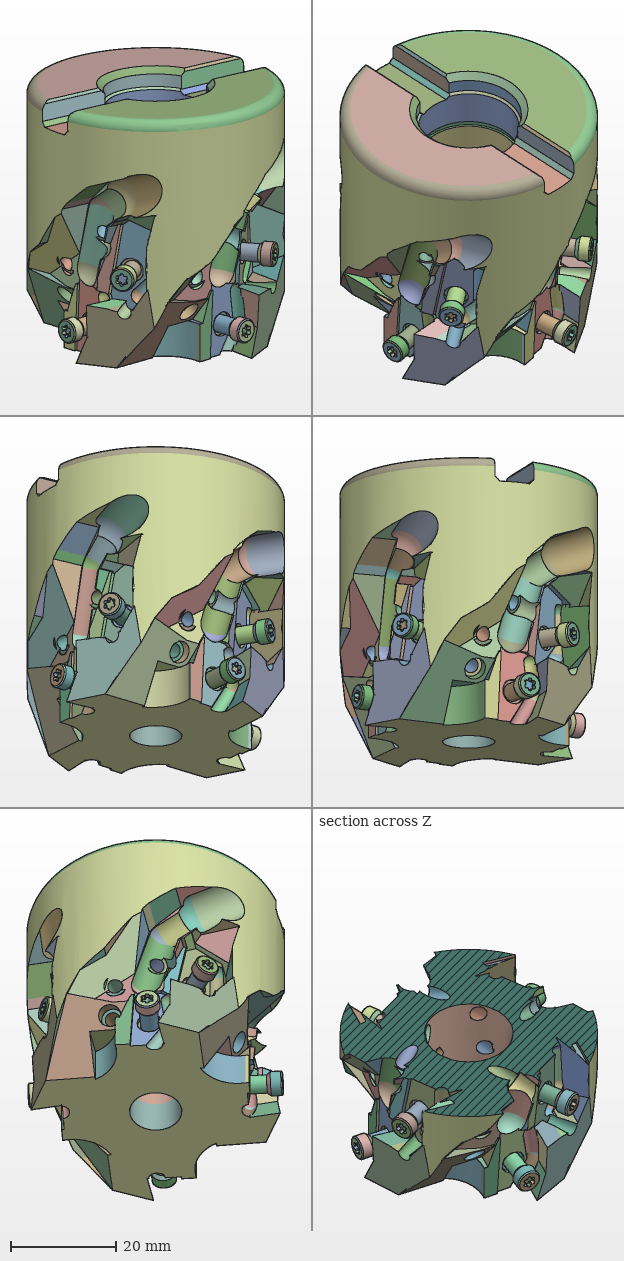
import cadquery as cq
import math

HEIGHT = 50.0
BODY_R = 24.5
TOP_FILLET = 2.0
TOOTH_COUNT = 4
TOOTH_PITCH = 360.0 / TOOTH_COUNT
REACH = 30.0

MOUTH_CHAMFER = 1.25
MOUTH_R = 10.0
MOUTH_DEPTH = 3.75
PILOT_R = 9.55
RELIEF_TOP_DEPTH = 11.1
RELIEF_BOTTOM_DEPTH = 12.25
CONE_TOP_Z = 31.0
CONE_BOTTOM_Z = 7.0
BOLT_HOLE_R = 4.95

SLOT_HALF_WIDTH = 3.95
SLOT_DEPTH = 4.8
SLOT_TOP_CHAMFER = 0.5
SLOT_FLOOR_CHAMFER = 0.9

SHANK_R = 1.75
HEAD_R = 2.35
HEAD_LENGTH = 2.25
NECK_LENGTH = 0.75
HEAD_EDGE_CHAMFER = 0.25
SCREW_LENGTH = 11.0
SOCKET_CORE_R = 0.9
SOCKET_LOBE_R = 0.35
SOCKET_DEPTH = 1.0
SOCKET_LOBES = 6
RECESS_DEPTH = 0.75

UPPER_SCREW = ((14.0, -19.0, 18.0), -54.4)
LOWER_SCREW = ((3.25, -24.0, 6.0), -82.5)

UPPER_SEAT_DISTANCE = 17.2
LOWER_SEAT_DISTANCE = 17.7
UPPER_SEAT_ANGLE = UPPER_SCREW[1]
LOWER_SEAT_ANGLE = LOWER_SCREW[1]
STRIP_STEP = 0.5

SCOOP_CENTER = (-12.0, -18.25)
SCOOP_R = 8.0
SCOOP_LEFT_X = -9.5
SCOOP_TOP_Z = 7.5
CHANNEL_Y = -18.0
CHANNEL_R = 3.0
RUNOUT_R = 4.0

UPPER_RELIEF_R = 1.65
LOWER_RELIEF_R = 1.35
NOTCH_R = 1.4
NOTCH_CENTER = (14.1, -18.5, 11.5)

COOLANT_R = 1.4
COOLANT_MOUTH_R = 2.1
COOLANT_MOUTH_LENGTH = 6.0
COOLANT_HOLES = [
    ((-1.8, -8.75), (3.4, -15.0, 24.0)),
    ((-4.45, -6.7), (-4.1, -18.5, 16.4)),
    ((-5.0, -4.5), (-5.3, -15.0, 11.0)),
]


def facing(angle):
    """Horizontal unit vector at an angle about Z."""
    return cq.Vector(math.cos(math.radians(angle)), math.sin(math.radians(angle)), 0)


def outside_of(point, normal):
    """Block filling the space on the outer side of a plane."""
    normal = cq.Vector(*normal)
    across = cq.Vector(0, 0, 1).cross(normal)
    plane = cq.Plane(origin=point, xDir=across.toTuple(), normal=normal.toTuple())
    return cq.Workplane(plane).rect(4 * HEIGHT, 4 * HEIGHT).extrude(HEIGHT)


def flat_floor(distance, angle):
    """Space outside a vertical plane at a distance from the axis."""
    normal = facing(angle)
    return outside_of((normal * distance).toTuple(), normal.toTuple())


def prism(outline):
    """Closed X-Z outline carried outward along -Y from the axis plane."""
    return cq.Workplane("XZ").polyline(outline).close().extrude(REACH)


def rod(start, end, radius):
    """Cylinder between two points."""
    start = cq.Vector(*start)
    axis = cq.Vector(*end) - start
    return cq.Workplane(cq.Solid.makeCylinder(radius, axis.Length, start, axis))


def ball(center, radius):
    return cq.Workplane("XY").sphere(radius).translate(center)


def around_teeth(shape):
    """Copies of a shape at every tooth position."""
    return [shape.rotate((0, 0, 0), (0, 0, 1), i * TOOTH_PITCH) for i in range(TOOTH_COUNT)]


def make_blank():
    blank = cq.Workplane("XY").circle(BODY_R).extrude(HEIGHT)
    return blank.faces(">Z").edges().fillet(TOP_FILLET)


def make_bore():
    profile = [
        (0, 0),
        (BOLT_HOLE_R, 0),
        (BOLT_HOLE_R, CONE_BOTTOM_Z),
        (PILOT_R, CONE_TOP_Z),
        (PILOT_R, HEIGHT - RELIEF_BOTTOM_DEPTH),
        (MOUTH_R, HEIGHT - RELIEF_BOTTOM_DEPTH),
        (MOUTH_R, HEIGHT - RELIEF_TOP_DEPTH),
        (PILOT_R, HEIGHT - RELIEF_TOP_DEPTH),
        (PILOT_R, HEIGHT - MOUTH_DEPTH - (MOUTH_R - PILOT_R)),
        (MOUTH_R, HEIGHT - MOUTH_DEPTH),
        (MOUTH_R, HEIGHT - MOUTH_CHAMFER),
        (MOUTH_R + MOUTH_CHAMFER, HEIGHT),
        (0, HEIGHT),
    ]
    return cq.Workplane("XZ").polyline(profile).close().revolve(360, (0, 0, 0), (0, 1, 0))


def make_drive_slot():
    floor_z = HEIGHT - SLOT_DEPTH
    half = [
        (SLOT_HALF_WIDTH - SLOT_FLOOR_CHAMFER, floor_z),
        (SLOT_HALF_WIDTH, floor_z + SLOT_FLOOR_CHAMFER),
        (SLOT_HALF_WIDTH, HEIGHT - SLOT_TOP_CHAMFER),
        (SLOT_HALF_WIDTH + SLOT_TOP_CHAMFER, HEIGHT),
    ]
    mirrored = [(-x, z) for x, z in reversed(half)]
    return cq.Workplane("XZ").polyline(half + mirrored).close().extrude(REACH, both=True)


def make_lower_gullet():
    """Sloping chip gullet that opens through the bottom."""
    outline = [(-18.85, 0), (-16.0, 7.0), (-13.0, 14.0), (-10.15, 18.2),
               (-0.75, 18.2), (-0.75, 14.35), (-3.2, SCOOP_TOP_Z),
               (SCOOP_LEFT_X, SCOOP_TOP_Z), (SCOOP_LEFT_X, 0)]
    slope = outside_of((-13.0, -20.75, 14.0), (0.1, -1.0, -0.65))
    return prism(outline).intersect(slope)


def make_scoop():
    """Upright round hollow at the foot of the gullet."""
    center_x, center_y = SCOOP_CENTER
    right_x = center_x + SCOOP_R
    left_y = center_y + math.sqrt(SCOOP_R**2 - (SCOOP_LEFT_X - center_x) ** 2)
    middle = cq.Vector(center_x, center_y) + facing(45) * SCOOP_R
    plan = cq.Workplane("XY").moveTo(SCOOP_LEFT_X, -REACH).lineTo(SCOOP_LEFT_X, left_y)
    plan = plan.threePointArc((middle.x, middle.y), (right_x, center_y)).lineTo(right_x, -REACH)
    return plan.close().extrude(SCOOP_TOP_Z)


def make_upper_gullet():
    """Shallow slanted face beside the channel, up to the flute edge."""
    outline = [(-10.15, 18.2), (-5.1, 21.4), (0.25, 28.0), (2.6, 31.0), (4.8, 13.0),
               (-0.85, 13.5), (-1.65, 12.0), (-4.5, 12.0), (-13.0, 14.0)]
    slope = outside_of((-10.15, -22.3, 18.2), (0.55, -1.0, -0.8))
    deepest = outside_of((0, CHANNEL_Y, 0), (0, -1.0, 0))
    return prism(outline).intersect(slope).intersect(deepest)


def make_channel_opening():
    """Opens the channel outward over its whole width."""
    outline = [(-1.15, 16.5), (2.45, 30.25), (3.7, 31.7), (8.6, 35.95), (16.65, 39.1), (19.3, 31.4),
               (11.25, 28.5), (9.0, 27.0), (4.8, 13.0), (2.0, 14.0)]
    return prism(outline).intersect(outside_of((0, CHANNEL_Y, 0), (0, -1.0, 0)))


def make_channel():
    """Round-bottomed channel that climbs beside the upper seat and runs out."""
    foot = (1.95, CHANNEL_Y, 16.5)
    bend = (5.5, CHANNEL_Y, 29.0)
    crest = (12.0, CHANNEL_Y, 33.4)
    exit_point = (24.0, CHANNEL_Y, 37.75)
    channel = ball(foot, CHANNEL_R).union(rod(foot, bend, CHANNEL_R))
    channel = channel.union(ball(bend, CHANNEL_R)).union(rod(bend, crest, CHANNEL_R))
    return channel.union(ball(crest, RUNOUT_R)).union(rod(crest, exit_point, RUNOUT_R))


def make_upper_pocket():
    outline = [(7.0, 13.0), (8.95, 27.0), (10.6, 28.5), (15.0, 26.5), (16.0, 26.0),
               (15.5, 12.0), (12.65, 11.4), (11.15, 11.75), (7.2, 12.0)]
    return prism(outline).intersect(flat_floor(UPPER_SEAT_DISTANCE, UPPER_SEAT_ANGLE))


def make_upper_side():
    """Leaning side of the upper pocket, from the seat out to the body surface."""
    outline = [(15.0, 26.5), (18.3, 25.0), (18.15, 20.4), (18.45, 16.7), (15.5, 12.0)]
    return prism(outline).intersect(outside_of((16.0, -9.75, 20.0), (-1.0, -0.34, 0)))


def make_upper_strip():
    outline = [(4.4, 13.35), (8.6, 27.4), (9.25, 27.25), (7.3, 12.0)]
    return prism(outline).intersect(flat_floor(UPPER_SEAT_DISTANCE + STRIP_STEP, UPPER_SEAT_ANGLE))


def make_upper_ramp():
    """Sloping face that leads from the run-out down to the upper seat."""
    outline = [(10.25, 28.0), (12.0, 29.75), (19.3, 31.4), (18.2, 24.5), (15.0, 26.0)]
    return prism(outline).intersect(outside_of((11.0, -15.0, 28.5), (0.31, -1.0, -0.85)))


def make_lower_pocket():
    outline = [(-1.2, 0), (-0.45, 14.3), (4.7, 13.8), (7.5, 12.4), (7.3, 5.5), (5.15, 0)]
    return prism(outline).intersect(flat_floor(LOWER_SEAT_DISTANCE, LOWER_SEAT_ANGLE))


def make_lower_strip():
    outline = [(-4.1, 0), (-4.1, SCOOP_TOP_Z), (-3.2, SCOOP_TOP_Z), (-0.75, 14.35), (-0.25, 14.3), (-1.0, 0)]
    return prism(outline).intersect(flat_floor(LOWER_SEAT_DISTANCE + STRIP_STEP, LOWER_SEAT_ANGLE))


def make_land():
    """Flat clearance behind the cutting edge, leaning slightly outward with height."""
    outline = [(5.15, 0), (7.3, 5.5), (7.2, 12.0), (11.15, 11.75),
               (18.65, 16.7), (20.35, 14.35), (BODY_R, 0)]
    return prism(outline).intersect(outside_of((0, -26.2, 0), (0.6, -1.0, -0.06)))


def make_corner_notch():
    """Round notch at the lower corner of the upper pocket, square to its seat."""
    center = cq.Vector(*NOTCH_CENTER)
    along = facing(UPPER_SEAT_ANGLE)
    depth = center.dot(along) - UPPER_SEAT_DISTANCE
    start = center - along * depth
    end = center + along * depth
    return rod(start.toTuple(), end.toTuple(), NOTCH_R)


def on_seat(x, z, distance, angle):
    """Point of a seat plane at a given x and z."""
    normal = facing(angle)
    return (x, (distance - normal.x * x) / normal.y, z)


def relief(path, radius, distance, angle):
    """Round-ended groove along a path of (x, z) points in a seat."""
    points = [on_seat(x, z, distance, angle) for x, z in path]
    groove = ball(points[0], radius)
    for start, end in zip(points, points[1:]):
        groove = groove.union(rod(start, end, radius)).union(ball(end, radius))
    return groove


def make_coolant_hole(bore_end, outlet):
    cone_slope = (CONE_TOP_Z - CONE_BOTTOM_Z) / (PILOT_R - BOLT_HOLE_R)
    bore_z = CONE_BOTTOM_Z + (math.hypot(*bore_end) - BOLT_HOLE_R) * cone_slope
    start = cq.Vector(*bore_end, bore_z)
    mouth = cq.Vector(*outlet)
    along = (mouth - start).normalized()
    inside = start - along * COOLANT_R
    outside = mouth + along * COOLANT_MOUTH_LENGTH
    hole = rod(inside.toTuple(), outside.toTuple(), COOLANT_R)
    return hole.union(rod(mouth.toTuple(), outside.toTuple(), COOLANT_MOUTH_R))


def screw_plane(head_center, angle):
    """Plane on the head face, with its normal pointing out of the head."""
    return cq.Plane(origin=head_center, xDir=(0, 0, 1), normal=facing(angle).toTuple())


def make_screw(head_center, angle):
    plane = screw_plane(head_center, angle)
    profile = [
        (0, 0),
        (HEAD_R - HEAD_EDGE_CHAMFER, 0),
        (HEAD_R, -HEAD_EDGE_CHAMFER),
        (HEAD_R, -HEAD_LENGTH),
        (SHANK_R, -HEAD_LENGTH - NECK_LENGTH),
        (SHANK_R, -SCREW_LENGTH),
        (0, -SCREW_LENGTH),
    ]
    upright = cq.Workplane("XZ").polyline(profile).close().revolve(360, (0, 0, 0), (0, 1, 0))
    socket = cq.Workplane("XY").circle(SOCKET_CORE_R).extrude(-SOCKET_DEPTH)
    lobes = cq.Workplane("XY").polarArray(SOCKET_CORE_R, 0, 360, SOCKET_LOBES)
    socket = socket.union(lobes.circle(SOCKET_LOBE_R).extrude(-SOCKET_DEPTH))
    return cq.Workplane(upright.cut(socket).val().moved(cq.Location(plane)))


def make_screw_hole(head_center, angle, seat_distance, seat_angle):
    """Bore that fits the shank, with a clearance ring sunk into the seat."""
    center = cq.Vector(*head_center)
    along = facing(angle)
    seat_normal = facing(seat_angle)
    seat_depth = (center.dot(seat_normal) - seat_distance) / along.dot(seat_normal)
    tip = center - along * SCREW_LENGTH
    ring_floor = center - along * (seat_depth + RECESS_DEPTH)
    hole = rod(tip.toTuple(), head_center, SHANK_R)
    return hole.union(rod(ring_floor.toTuple(), head_center, HEAD_R))


UPPER_SEAT = (UPPER_SEAT_DISTANCE, UPPER_SEAT_ANGLE)
LOWER_SEAT = (LOWER_SEAT_DISTANCE, LOWER_SEAT_ANGLE)

tooth_cuts = [
    make_lower_gullet(),
    make_scoop(),
    make_upper_gullet(),
    make_channel_opening(),
    make_upper_ramp(),
    make_upper_side(),
    make_upper_pocket(),
    make_upper_strip(),
    make_lower_pocket(),
    make_lower_strip(),
    make_land(),
    make_corner_notch(),
    relief([(14.3, 24.0), (14.3, 16.25), (11.6, 13.0)], UPPER_RELIEF_R, *UPPER_SEAT),
    relief([(5.9, 12.0), (6.75, 5.5), (3.0, -0.5)], LOWER_RELIEF_R, *LOWER_SEAT),
    make_channel(),
    make_screw_hole(*UPPER_SCREW, *UPPER_SEAT),
    make_screw_hole(*LOWER_SCREW, *LOWER_SEAT),
]
for bore_end, outlet in COOLANT_HOLES:
    tooth_cuts.append(make_coolant_hole(bore_end, outlet))

body = make_blank().cut(make_bore()).cut(make_drive_slot())
for tooth_cut in tooth_cuts:
    for placed_cut in around_teeth(tooth_cut):
        body = body.cut(placed_cut)

screws = []
for head_center, angle in (UPPER_SCREW, LOWER_SCREW):
    for screw in around_teeth(make_screw(head_center, angle)):
        screws.append(screw.val())

result = cq.Compound.makeCompound([body.val(), *screws])